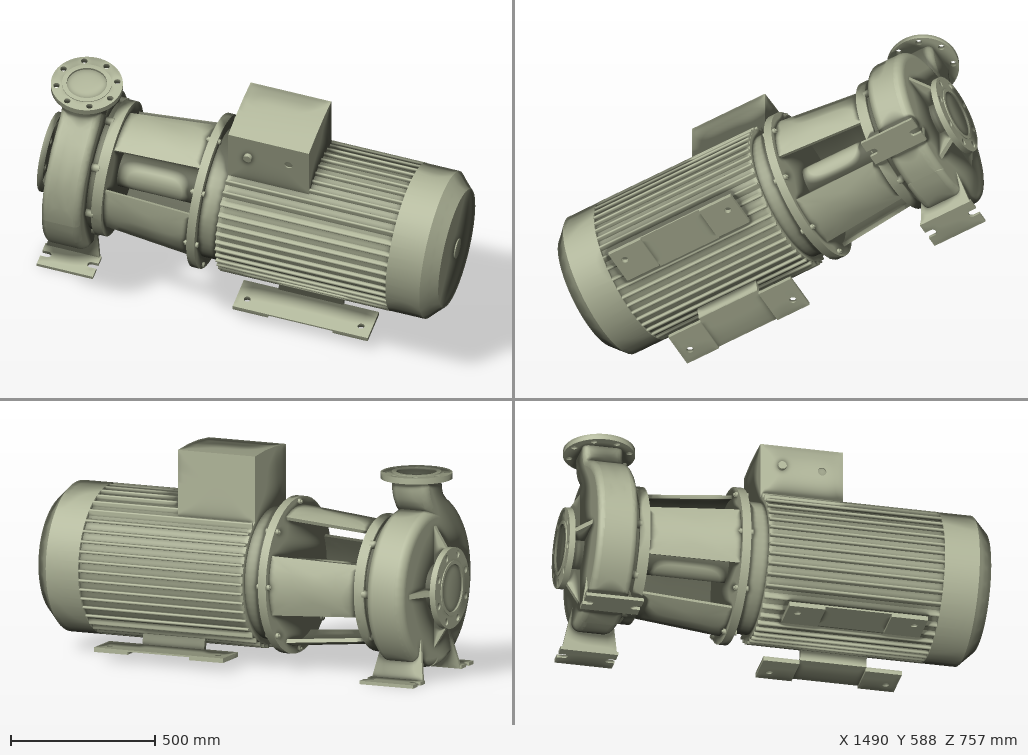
import cadquery as cq
import math


suction_flange_dia = 285.0
suction_flange_thick = 21.0
suction_neck_dia = 164.0
suction_face_dia = 192.0
suction_bore_dia = 168.0
suction_hole_dia = 25.0
suction_hole_circle = 241.0
face_height = 3.0
bore_depth = 7.0
flange_hole_count = 8

volute_start = 69.0
volute_width = 142.0
volute_end = volute_start + volute_width
volute_mid = volute_start + volute_width / 2
scroll_radius = 277.0
scroll_reach = 311.0
scroll_drop = 6.0
scroll_rounding = 30.0
throat_half_width = 70.0
throat_rounding = 22.0

rib_root_radius = 215.0
rib_thick = 16.0
rib_count = 4

discharge_flange_dia = 250.0
discharge_flange_thick = 21.0
discharge_flange_top = 400.0
discharge_face_dia = 173.0
discharge_bore_dia = 140.0
discharge_hole_dia = 22.0
discharge_hole_circle = 212.0

foot_bottom = -315.0
foot_thick = 12.0
foot_inner_y = 150.0
foot_outer_y = 252.0
foot_length = 204.0
foot_leg_base_length = 197.0
foot_leg_top_y = 107.0
foot_leg_top_z = -167.0
foot_slot_width = 25.0
foot_slot_depth = 36.0
foot_slot_y = 200.0

hub_dia = 453.0
back_plate_dia = 481.0
back_plate_start = 231.0
back_plate_end = 268.0
post_dia = 30.0
post_circle_radius = 230.0
post_end = 238.0
post_count = 8
lantern_small_radius = 215.0
lantern_large_radius = 246.0
lantern_wall = 13.0
lantern_leg_angle = 50.6
lantern_leg_count = 4
shaft_dia = 120.0
lantern_flange_dia = 550.0
lantern_flange_start = 589.0
lantern_flange_thick = 30.0
lantern_flange_end = lantern_flange_start + lantern_flange_thick

bolt_count = 8
bolt_circle_radius = 260.0
bolt_dia = 10.0
bolt_head_dia = 20.0
bolt_head_height = 9.0
bolt_tip = 5.0

motor_collar_dia = 462.0
fins_start = 688.0
fins_end = 1310.0
motor_dia = 527.0
fin_root_dia = 500.0
fin_pitch = 33.5
fin_thick = 10.0
fins_each_side = 5
cover_cone_start = 1433.0
cover_cone_end = 1485.0
cover_end_dia = 423.0
end_cap_dia = 72.0
motor_end = 1490.0

box_length = 294.0
box_front_y = -109.0
box_back_y = 148.0
box_edge_z = 435.0
box_crown = 7.0
gland_z = 352.0
gland_x = 763.0
knockout_x = 907.0
gland_dia = 30.0
gland_neck_dia = 24.0
gland_neck_length = 5.0
gland_length = 18.0
knockout_depth = 5.0

motor_foot_start = 755.0
motor_foot_length = 492.0
motor_foot_bottom = -279.0
motor_foot_thick = 16.0
motor_foot_outer_y = 268.0
motor_foot_width = 128.0
motor_foot_hole_dia = 24.0
motor_foot_hole_end = 39.0
motor_foot_hole_edge = 46.0
motor_foot_relief = 10.0
web_start = 884.0
web_length = 235.0
web_rise = 52.0
web_lean = 12.0
web_overlap = 6.0


def disc(start, end, dia):
    """Cylinder on the shaft axis between two X positions."""
    return cq.Workplane("YZ", origin=(start, 0, 0)).circle(dia / 2).extrude(end - start)


def cone(start, end, start_dia, end_dia):
    """Cone frustum on the shaft axis between two X positions."""
    base = cq.Vector(start, 0, 0)
    along_shaft = cq.Vector(1, 0, 0)
    return cq.Workplane(cq.Solid.makeCone(start_dia / 2, end_dia / 2, end - start, base, along_shaft))


def box(x, y, z):
    """Box from three (low, high) ranges."""
    size = [high - low for low, high in (x, y, z)]
    return cq.Workplane("XY").box(*size, centered=False).translate((x[0], y[0], z[0]))


def ring_of_rods(start, end, dia, circle_radius, count):
    """Rods parallel to the shaft, evenly spaced round it."""
    return (
        cq.Workplane("YZ", origin=(start, 0, 0))
        .polarArray(circle_radius, 0, 360, count)
        .circle(dia / 2)
        .extrude(end - start)
    )


def pipe_flange(dia, thick, face_dia, bore_dia, hole_dia, hole_circle):
    """Pipe flange with its back on Z = 0 and its raised face, holes and recess upward."""
    half_step = 180 / flange_hole_count
    top = thick + face_height
    flange = cq.Workplane("XY").circle(dia / 2).extrude(thick)
    flange = flange.union(cq.Workplane("XY").circle(face_dia / 2).extrude(top))
    holes = (
        cq.Workplane("XY")
        .polarArray(hole_circle / 2, half_step, 360, flange_hole_count)
        .circle(hole_dia / 2)
        .extrude(thick)
    )
    recess = cq.Workplane("XY", origin=(0, 0, top - bore_depth)).circle(bore_dia / 2).extrude(bore_depth)
    return flange.cut(holes).cut(recess)


def volute():
    """Round scroll joined to the throat that sweeps up into the discharge."""
    scroll = (
        cq.Workplane("YZ", origin=(volute_start, 0, 0))
        .center(0, -scroll_drop)
        .circle(scroll_radius)
        .extrude(volute_width)
        .edges()
        .fillet(scroll_rounding)
    )
    bottom = (0, -scroll_drop - scroll_radius)
    neck_top = discharge_flange_top - discharge_flange_thick
    throat = (
        cq.Workplane("YZ", origin=(volute_start, 0, 0))
        .moveTo(*bottom)
        .threePointArc((-222.0, -205.0), (-scroll_reach, 0))
        .spline(
            [(-280.0, 134.0), (-213.0, 225.0), (-120.0, 292.0), (-throat_half_width, neck_top)],
            tangents=[(0, 1), (0, 1)],
            includeCurrent=True,
        )
        .lineTo(throat_half_width, neck_top)
        .spline([(18.0, 260.0), (-40.0, 215.0)], tangents=[(0, -1), (-1, -0.8)], includeCurrent=True)
        .lineTo(0, 0)
        .close()
        .extrude(volute_width)
        .faces("<X or >X")
        .edges("not(<Z or >Z)")
        .fillet(throat_rounding)
    )
    return scroll.union(throat)


def suction_side():
    """Neck, four ribs and the suction flange."""
    back = suction_flange_thick + face_height
    flange = pipe_flange(
        suction_flange_dia, suction_flange_thick, suction_face_dia,
        suction_bore_dia, suction_hole_dia, suction_hole_circle,
    )
    flange = flange.rotate((0, 0, 0), (0, 1, 0), -90).translate((back, 0, 0))
    side = flange.union(disc(back, volute_start, suction_neck_dia))
    rib = (
        cq.Workplane("XZ", origin=(0, rib_thick / 2, 0))
        .moveTo(back, 0)
        .lineTo(back, suction_flange_dia / 2)
        .lineTo(volute_start, rib_root_radius)
        .lineTo(volute_start, 0)
        .close()
        .extrude(rib_thick)
    )
    for i in range(rib_count):
        side = side.union(rib.rotate((0, 0, 0), (1, 0, 0), i * 360 / rib_count))
    return side


def discharge_flange():
    """Upward flange on top of the throat."""
    flange = pipe_flange(
        discharge_flange_dia, discharge_flange_thick, discharge_face_dia,
        discharge_bore_dia, discharge_hole_dia, discharge_hole_circle,
    )
    return flange.translate((volute_mid, 0, discharge_flange_top - discharge_flange_thick))


def pump_foot():
    """Bent plate foot on the +Y side: slotted base and a leaning leg that narrows upward."""
    base_start = volute_mid - foot_length / 2
    base_end = volute_mid + foot_length / 2
    base_top = foot_bottom + foot_thick
    base = box((base_start, base_end), (foot_inner_y, foot_outer_y), (foot_bottom, base_top))
    for end in (base_start, base_end):
        slot = (
            cq.Workplane("XY", origin=(end, foot_slot_y, foot_bottom))
            .slot2D(2 * foot_slot_depth, foot_slot_width)
            .extrude(foot_thick)
        )
        base = base.cut(slot)
    leg = (
        cq.Workplane("YZ", origin=(base_start, 0, 0))
        .moveTo(foot_inner_y, foot_bottom)
        .lineTo(foot_leg_top_y, foot_leg_top_z)
        .lineTo(foot_leg_top_y + foot_thick, foot_leg_top_z)
        .lineTo(foot_inner_y + foot_thick, foot_bottom)
        .close()
        .extrude(foot_length)
    )
    trapezoid = (
        cq.Workplane("XZ", origin=(volute_mid, 0, 0))
        .moveTo(-foot_leg_base_length / 2, foot_bottom)
        .lineTo(-volute_width / 2, foot_leg_top_z)
        .lineTo(volute_width / 2, foot_leg_top_z)
        .lineTo(foot_leg_base_length / 2, foot_bottom)
        .close()
        .extrude(-foot_outer_y)
    )
    return base.union(leg.intersect(trapezoid))


def back_plate():
    """Hub behind the volute, its ring of posts and the plate that carries the lantern."""
    plate = disc(volute_end, back_plate_start, hub_dia)
    plate = plate.union(disc(back_plate_start, back_plate_end, back_plate_dia))
    return plate.union(ring_of_rods(volute_end, post_end, post_dia, post_circle_radius, post_count))


def lantern():
    """Four legs cut from a conical shell, the shaft between them and the bolted flange."""
    outer = cone(back_plate_end, lantern_flange_start, 2 * lantern_small_radius, 2 * lantern_large_radius)
    inner = cone(
        back_plate_end, lantern_flange_start,
        2 * (lantern_small_radius - lantern_wall), 2 * (lantern_large_radius - lantern_wall),
    )
    shell = outer.cut(inner)
    half_angle = math.radians(lantern_leg_angle / 2)
    reach = 2 * lantern_large_radius
    half_spread = reach * math.tan(half_angle)
    sector = (
        cq.Workplane("YZ", origin=(back_plate_end, 0, 0))
        .polyline([(0, 0), (reach, -half_spread), (reach, half_spread)])
        .close()
        .extrude(lantern_flange_start - back_plate_end)
    )
    leg = shell.intersect(sector)
    frame = disc(back_plate_end, lantern_flange_start, shaft_dia)
    frame = frame.union(disc(lantern_flange_start, lantern_flange_end, lantern_flange_dia))
    for i in range(lantern_leg_count):
        frame = frame.union(leg.rotate((0, 0, 0), (1, 0, 0), i * 360 / lantern_leg_count))
    holes = ring_of_rods(lantern_flange_start, lantern_flange_end, bolt_dia, bolt_circle_radius, bolt_count)
    return frame.cut(holes)


def make_pump():
    """Casing, feet, back plate and lantern as one body."""
    foot = pump_foot()
    body = volute().union(suction_side()).union(discharge_flange())
    body = body.union(foot).union(foot.mirror("XZ"))
    return body.union(back_plate()).union(lantern())


def make_bolt(angle):
    """Bolt with its head on the motor side and its nut and thread tip on the pump side."""
    nut_start = lantern_flange_start - bolt_head_height
    bolt = disc(nut_start - bolt_tip, lantern_flange_end, bolt_dia)
    bolt = bolt.union(disc(nut_start, lantern_flange_start, bolt_head_dia))
    bolt = bolt.union(disc(lantern_flange_end, lantern_flange_end + bolt_head_height, bolt_head_dia))
    return bolt.translate((0, bolt_circle_radius, 0)).rotate((0, 0, 0), (1, 0, 0), angle)


def finned_body():
    """Round barrel with parallel round-tipped cooling fins standing on its four sides."""
    length = fins_end - fins_start
    barrel = disc(fins_start, fins_end, fin_root_dia)
    for i in range(-fins_each_side, fins_each_side + 1):
        offset = i * fin_pitch
        tip_to_tip = 2 * math.sqrt((motor_dia / 2) ** 2 - offset**2)
        plane = cq.Workplane("YZ", origin=(fins_start, 0, 0))
        side_fins = plane.center(0, offset).slot2D(tip_to_tip, fin_thick).extrude(length)
        upright_fins = plane.center(offset, 0).slot2D(tip_to_tip, fin_thick, 90).extrude(length)
        barrel = barrel.union(side_fins).union(upright_fins)
    return barrel


def fan_cover():
    """Round cover with a conical end and a small end cap."""
    cover = disc(fins_end, cover_cone_start, motor_dia)
    cover = cover.union(cone(cover_cone_start, cover_cone_end, motor_dia, cover_end_dia))
    return cover.union(disc(cover_cone_end, motor_end, end_cap_dia))


def terminal_box():
    """Terminal box with a slightly crowned lid, one cable gland and one knockout."""
    middle_y = (box_front_y + box_back_y) / 2
    body = (
        cq.Workplane("YZ", origin=(fins_start, 0, 0))
        .moveTo(box_front_y, 0)
        .lineTo(box_front_y, box_edge_z)
        .threePointArc((middle_y, box_edge_z + box_crown), (box_back_y, box_edge_z))
        .lineTo(box_back_y, 0)
        .close()
        .extrude(box_length)
    )
    front = cq.Workplane("XZ", origin=(0, box_front_y, gland_z))
    neck = front.center(gland_x, 0).circle(gland_neck_dia / 2).extrude(gland_length)
    nut = (
        front.workplane(offset=gland_neck_length)
        .center(gland_x, 0)
        .circle(gland_dia / 2)
        .extrude(gland_length - gland_neck_length)
    )
    knockout = front.center(knockout_x, 0).circle(gland_dia / 2).extrude(-knockout_depth)
    return body.union(neck).union(nut).cut(knockout)


def motor_foot():
    """Foot on the -Y side: drilled plate relieved underneath, hung from the barrel by a web."""
    outer = -motor_foot_outer_y
    inner = outer + motor_foot_width
    top = motor_foot_bottom + motor_foot_thick
    foot_end = motor_foot_start + motor_foot_length
    web_end = web_start + web_length
    plate = box((motor_foot_start, foot_end), (outer, inner), (motor_foot_bottom, top))
    relief_top = motor_foot_bottom + motor_foot_relief
    plate = plate.cut(box((web_start, web_end), (outer, inner), (motor_foot_bottom, relief_top)))
    for x in (motor_foot_start + motor_foot_hole_end, foot_end - motor_foot_hole_end):
        hole = (
            cq.Workplane("XY", origin=(x, outer + motor_foot_hole_edge, motor_foot_bottom))
            .circle(motor_foot_hole_dia / 2)
            .extrude(motor_foot_thick)
        )
        plate = plate.cut(hole)
    web_outer = inner - web_overlap
    web_inner = web_outer + motor_foot_thick
    web = (
        cq.Workplane("YZ", origin=(web_start, 0, 0))
        .polyline([
            (web_outer, top),
            (web_outer + web_lean, top + web_rise),
            (web_inner + web_lean, top + web_rise),
            (web_inner, top),
            (web_inner, relief_top),
            (web_outer, relief_top),
        ])
        .close()
        .extrude(web_length)
    )
    return plate.union(web)


def make_motor():
    """Collar, finned barrel, fan cover, terminal box and feet as one body."""
    foot = motor_foot()
    body = finned_body().union(fan_cover()).union(disc(lantern_flange_end, fins_start, motor_collar_dia))
    return body.union(terminal_box()).union(foot).union(foot.mirror("XZ"))


pump = make_pump()
motor = make_motor()
bolts = []
for i in range(bolt_count):
    bolts.append(make_bolt(i * 360 / bolt_count).val())

result = cq.Compound.makeCompound([pump.val(), motor.val(), *bolts])